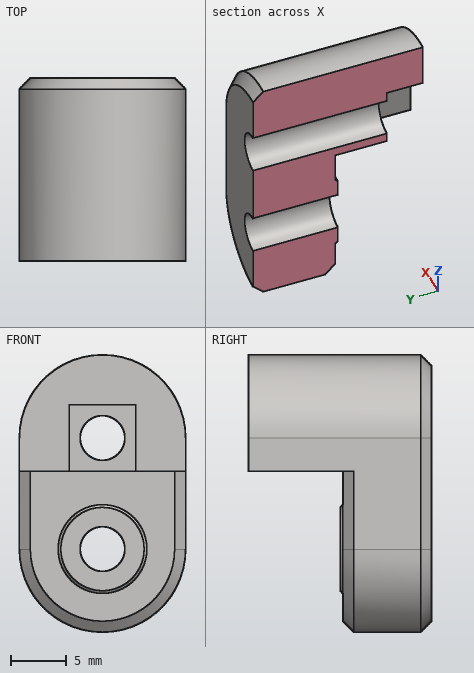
import cadquery as cq

width = 15.0
hole_spacing = 10.0
hole_diameter = 4.0
plate_thickness = 8.0
total_depth = 16.5
edge_chamfer = 1.0
hood_drop = 3.0
slot_width = 6.0
slot_top = slot_width / 2
slot_depth = 3.5
boss_diameter = 8.0
boss_height = 0.25
boss_chamfer = 0.25

radius = width / 2
back_y = total_depth / 2
front_y = -back_y
plate_front_y = back_y - plate_thickness
lower_z = -hole_spacing


def facing_front(y):
    """Workplane at the given Y, with local x = X, local y = Z, extruding toward -Y."""
    return cq.Workplane("XZ", origin=(0, y, 0))


def make_plate():
    """Upright round-ended plate, chamfered around its front and back edges."""
    return (
        facing_front(back_y)
        .center(0, lower_z / 2)
        .slot2D(hole_spacing + width, width, 90)
        .extrude(plate_thickness)
        .faces("<Y or >Y")
        .chamfer(edge_chamfer)
    )


def make_hood():
    """Round-topped block over the upper hole, reaching forward from the back chamfer."""
    return (
        facing_front(back_y - edge_chamfer)
        .moveTo(-radius, -hood_drop)
        .lineTo(-radius, 0)
        .threePointArc((0, radius), (radius, 0))
        .lineTo(radius, -hood_drop)
        .close()
        .extrude(total_depth - edge_chamfer)
    )


def make_slot():
    """Square notch in the hood's front face, open at the front and below."""
    return (
        facing_front(front_y + slot_depth)
        .center(0, (slot_top - hood_drop) / 2)
        .rect(slot_width, slot_top + hood_drop)
        .extrude(slot_depth)
    )


def make_boss():
    """Low conical boss around the lower hole on the plate's front face."""
    return (
        facing_front(plate_front_y)
        .center(0, lower_z)
        .circle(boss_diameter / 2)
        .workplane(offset=boss_height)
        .circle(boss_diameter / 2 - boss_chamfer)
        .loft()
    )


def make_holes():
    """Through holes along Y at the upper and lower axes."""
    return (
        facing_front(back_y)
        .pushPoints([(0, 0), (0, lower_z)])
        .circle(hole_diameter / 2)
        .extrude(total_depth)
    )


result = make_plate().union(make_hood()).cut(make_slot()).union(make_boss()).cut(make_holes())